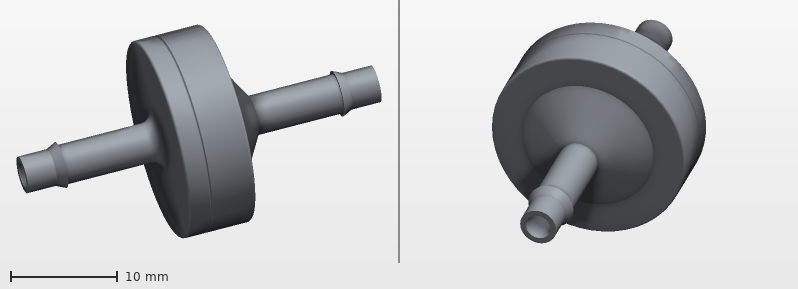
import cadquery as cq

overall_length = 34.92
half_length = overall_length / 2

disc_diameter = 19.13
disc_back_y = 2.48
disc_thickness = 6.6
disc_edge_radius = 0.25
disc_front_y = disc_back_y - disc_thickness

seam_y = -1.93
seam_width = 0.22
seam_depth = seam_width / 2

stem_diameter = 3.81
tip_diameter = 3.56
tip_length = 2.86
barb_diameter = 4.45
barb_length = 0.95
bore_diameter = 2.46

cone_base_diameter = 12.95
cone_height = 2.84
cone_end_y = disc_back_y + cone_height
root_fillet_radius = 1.15
root_end_y = disc_front_y - root_fillet_radius


def revolve_about_y(profile):
    return profile.close().revolve(360, (0, 0, 0), (0, 1, 0))


def make_disc():
    """Disc with rounded rims and a V groove around the seam."""
    disc = (
        cq.Workplane("XZ", origin=(0, disc_back_y, 0))
        .circle(disc_diameter / 2)
        .extrude(disc_thickness)
        .edges("%CIRCLE")
        .fillet(disc_edge_radius)
    )
    rim = disc_diameter / 2
    groove = revolve_about_y(
        cq.Workplane("XY")
        .moveTo(rim, seam_y - seam_width / 2)
        .lineTo(rim - seam_depth, seam_y)
        .lineTo(rim, seam_y + seam_width / 2)
    )
    return disc.cut(groove)


def make_stem(direction):
    """Stem with a tapered barb and plain tip, pointing along +Y (1) or -Y (-1)."""
    tip_start = half_length - tip_length
    barb_start = tip_start - barb_length
    return revolve_about_y(
        cq.Workplane("XY")
        .moveTo(0, 0)
        .lineTo(stem_diameter / 2, 0)
        .lineTo(stem_diameter / 2, direction * barb_start)
        .lineTo(barb_diameter / 2, direction * barb_start)
        .lineTo(tip_diameter / 2, direction * tip_start)
        .lineTo(tip_diameter / 2, direction * half_length)
        .lineTo(0, direction * half_length)
    )


def make_back_cone():
    """Cone narrowing from the back face of the disc to the stem."""
    return revolve_about_y(
        cq.Workplane("XY")
        .moveTo(0, disc_back_y)
        .lineTo(cone_base_diameter / 2, disc_back_y)
        .lineTo(stem_diameter / 2, cone_end_y)
        .lineTo(0, cone_end_y)
    )


def make_front_root():
    """Concave fillet between the front face of the disc and the stem."""
    stem_radius = stem_diameter / 2
    flare_radius = stem_radius + root_fillet_radius
    return revolve_about_y(
        cq.Workplane("XY")
        .moveTo(0, disc_front_y)
        .lineTo(flare_radius, disc_front_y)
        .radiusArc((stem_radius, root_end_y), -root_fillet_radius)
        .lineTo(0, root_end_y)
    )


def make_bore(direction, floor_distance):
    """Blind bore from a stem end to a floor at this distance from the origin."""
    depth = half_length - floor_distance
    return (
        cq.Workplane("XZ", origin=(0, direction * half_length, 0))
        .circle(bore_diameter / 2)
        .extrude(direction * depth)
    )


body = make_disc()
for direction in (1, -1):
    body = body.union(make_stem(direction))
body = body.union(make_back_cone()).union(make_front_root())

body = body.cut(make_bore(1, cone_end_y))
body = body.cut(make_bore(-1, -root_end_y))

result = body